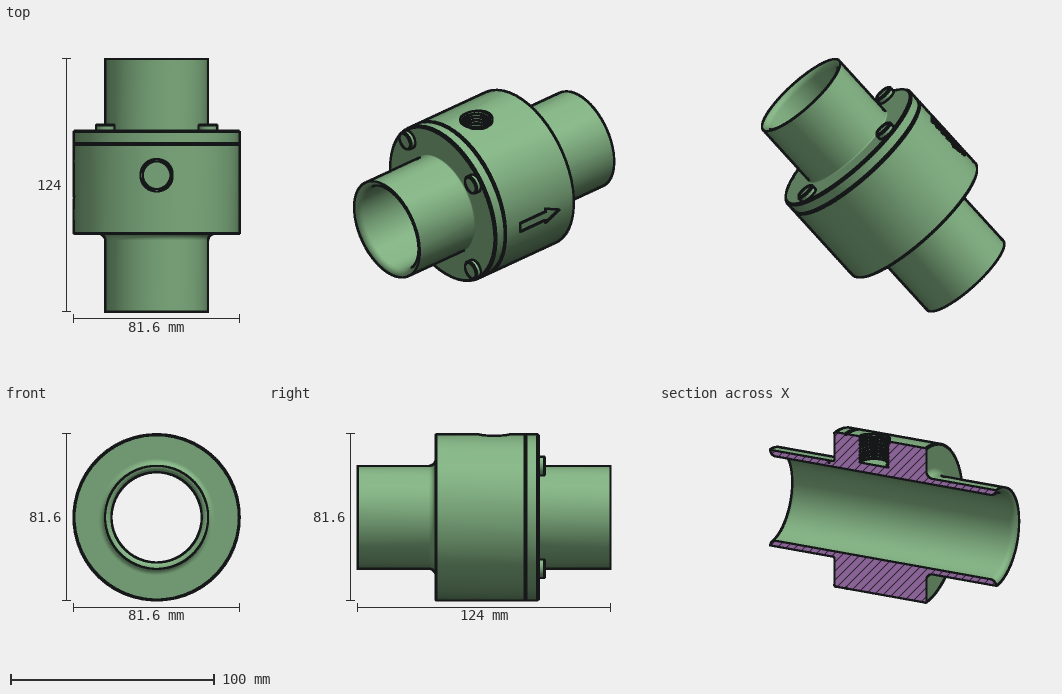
import cadquery as cq
import math

length = 124.0
tube_radius = 25.3
bore_radius = 22.1
tube_wall = tube_radius - bore_radius
half_length = length / 2

body_radius = 40.8
body_front = -23.8
cap_joint = 20.3
cap_back = 26.8
body_edge_chamfer = 0.5
cap_edge_chamfer = 0.7
front_fillet = 3.2
back_fillet = 0.6

screw_spacing = 50.3
screw_head_radius = 4.6
screw_head_height = 3.0
screw_edge_chamfer = 0.5

port_y = 5.0
port_minor_radius = 6.8
port_major_radius = 7.9
port_mouth_depth = 0.7
thread_pitch = 1.9
thread_crest = 0.4
thread_turns = 7

arrow_tail = 10.7
arrow_shoulder = -5.5
arrow_tip = -14.1
arrow_shaft_width = 5.0
arrow_head_width = 8.3
arrow_depth = 0.5

arc_mid_inset = 1 - math.sqrt(0.5)


def cylinder_along_y(radius, y_start, y_end):
    return cq.Workplane("XZ", origin=(0, y_start, 0)).circle(radius).extrude(y_start - y_end)


def make_housing():
    """Tube, body and cap turned as one profile (radius, y) about the Y axis."""
    arc_offset = tube_wall * arc_mid_inset
    lip_mid_radius = bore_radius + arc_offset
    front_arc_offset = front_fillet * arc_mid_inset
    back_arc_offset = back_fillet * arc_mid_inset
    return (
        cq.Workplane("XY")
        .moveTo(bore_radius, -half_length + tube_wall)
        .threePointArc((lip_mid_radius, -half_length + arc_offset), (tube_radius, -half_length))
        .lineTo(tube_radius, body_front - front_fillet)
        .threePointArc(
            (tube_radius + front_arc_offset, body_front - front_arc_offset),
            (tube_radius + front_fillet, body_front),
        )
        .lineTo(body_radius - body_edge_chamfer, body_front)
        .lineTo(body_radius, body_front + body_edge_chamfer)
        .lineTo(body_radius, cap_joint - body_edge_chamfer)
        .lineTo(body_radius - body_edge_chamfer, cap_joint)
        .lineTo(body_radius, cap_joint + body_edge_chamfer)
        .lineTo(body_radius, cap_back - cap_edge_chamfer)
        .lineTo(body_radius - cap_edge_chamfer, cap_back)
        .lineTo(tube_radius + back_fillet, cap_back)
        .threePointArc(
            (tube_radius + back_arc_offset, cap_back + back_arc_offset),
            (tube_radius, cap_back + back_fillet),
        )
        .lineTo(tube_radius, half_length)
        .threePointArc((lip_mid_radius, half_length - arc_offset), (bore_radius, half_length - tube_wall))
        .close()
        .revolve(360, (0, 0, 0), (0, 1, 0))
    )


def make_screw_heads():
    return (
        cq.Workplane("XZ", origin=(0, cap_back, 0))
        .rect(screw_spacing, screw_spacing, forConstruction=True)
        .vertices()
        .circle(screw_head_radius)
        .extrude(-screw_head_height)
        .faces(">Y")
        .chamfer(screw_edge_chamfer)
    )


def make_port():
    """Blind hole with a plain mouth above a stack of V thread grooves, turned about Z."""
    tool_top = body_radius + port_mouth_depth
    thread_top = body_radius - port_mouth_depth
    port_floor = thread_top - thread_turns * thread_pitch
    profile = (
        cq.Workplane("XZ", origin=(0, port_y, 0))
        .moveTo(0, tool_top)
        .lineTo(port_major_radius, tool_top)
        .lineTo(port_major_radius, thread_top)
    )
    flank_height = (thread_pitch - thread_crest) / 2
    for turn in range(thread_turns):
        root_above = thread_top - turn * thread_pitch
        root_below = root_above - thread_pitch
        profile = (
            profile
            .lineTo(port_minor_radius, root_above - flank_height)
            .lineTo(port_minor_radius, root_below + flank_height)
            .lineTo(port_major_radius, root_below)
        )
    return profile.lineTo(0, port_floor).close().revolve(360, (0, 0, 0), (0, 1, 0))


def make_arrow():
    """Arrow of constant depth below the round body surface."""
    half_shaft = arrow_shaft_width / 2
    half_head = arrow_head_width / 2
    prism = (
        cq.Workplane("YZ")
        .polyline([
            (arrow_tail, half_shaft),
            (arrow_shoulder, half_shaft),
            (arrow_shoulder, half_head),
            (arrow_tip, 0),
            (arrow_shoulder, -half_head),
            (arrow_shoulder, -half_shaft),
            (arrow_tail, -half_shaft),
        ])
        .close()
        .extrude(-body_radius)
    )
    return prism.cut(cylinder_along_y(body_radius - arrow_depth, arrow_tip, arrow_tail))


result = make_housing().union(make_screw_heads()).cut(make_port()).cut(make_arrow())